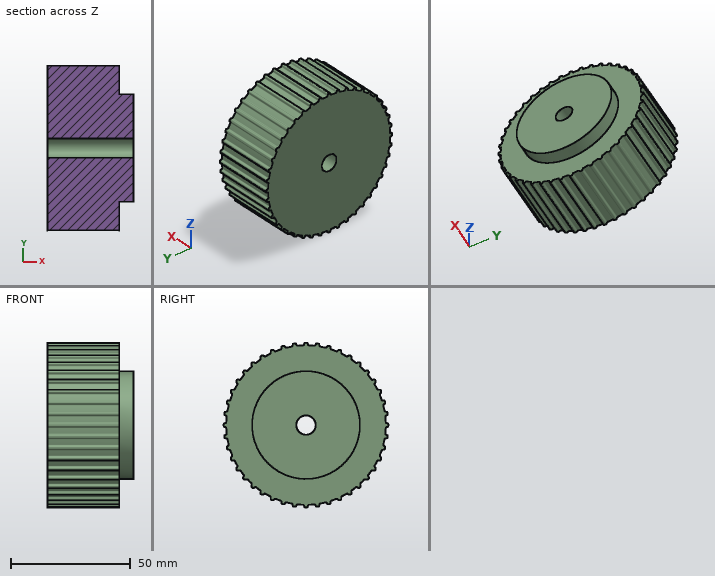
import cadquery as cq
import math

tip_radius = 34.4
tooth_height = 1.1
tooth_count = 44
rim_width = 30.0

gap_floor_width = 2.75
gap_half_angle = 24.0
tip_round = 0.5
root_round = 0.35

hub_diameter = 45.0
hub_length = 6.0
bore_diameter = 8.0

root_radius = tip_radius - tooth_height
total_length = rim_width + hub_length
tooth_pitch = 2 * math.pi / tooth_count


def polar(radius, angle):
    """Point on the YZ plane, with the angle measured from +Y towards +Z."""
    return radius * math.cos(angle), radius * math.sin(angle)


def gap_half_angles():
    """Angles from the gap middle to the flank foot and to the flank top."""
    floor_half_width = gap_floor_width / 2
    foot_angle = math.asin(floor_half_width / root_radius)
    top_half_width = floor_half_width + tooth_height * math.tan(math.radians(gap_half_angle))
    top_angle = math.asin(top_half_width / tip_radius)
    return foot_angle, top_angle


def toothed_rim():
    """Straight-flanked teeth, one centred on +Y, with rounded tips and roots."""
    foot_angle, top_angle = gap_half_angles()
    profile = cq.Workplane("YZ").moveTo(*polar(tip_radius, top_angle - tooth_pitch / 2))
    for tooth in range(tooth_count):
        tooth_middle = tooth * tooth_pitch
        gap_middle = tooth_middle + tooth_pitch / 2
        profile = (
            profile
            .threePointArc(polar(tip_radius, tooth_middle), polar(tip_radius, gap_middle - top_angle))
            .lineTo(*polar(root_radius, gap_middle - foot_angle))
            .threePointArc(polar(root_radius, gap_middle), polar(root_radius, gap_middle + foot_angle))
            .lineTo(*polar(tip_radius, gap_middle + top_angle))
        )
    rim = profile.close().extrude(rim_width)

    mid_height_radius = root_radius + tooth_height / 2

    def distance_from_axis(edge):
        middle = edge.Center()
        return math.hypot(middle.y, middle.z)

    def is_tip(edge):
        return distance_from_axis(edge) > mid_height_radius

    def is_root(edge):
        return distance_from_axis(edge) < mid_height_radius

    rim = rim.edges("|X").filter(is_tip).fillet(tip_round)
    return rim.edges("|X").filter(is_root).fillet(root_round)


def hub():
    return cq.Workplane("YZ").workplane(offset=rim_width).circle(hub_diameter / 2).extrude(hub_length)


def bore():
    return cq.Workplane("YZ").circle(bore_diameter / 2).extrude(total_length)


result = toothed_rim().union(hub()).cut(bore())